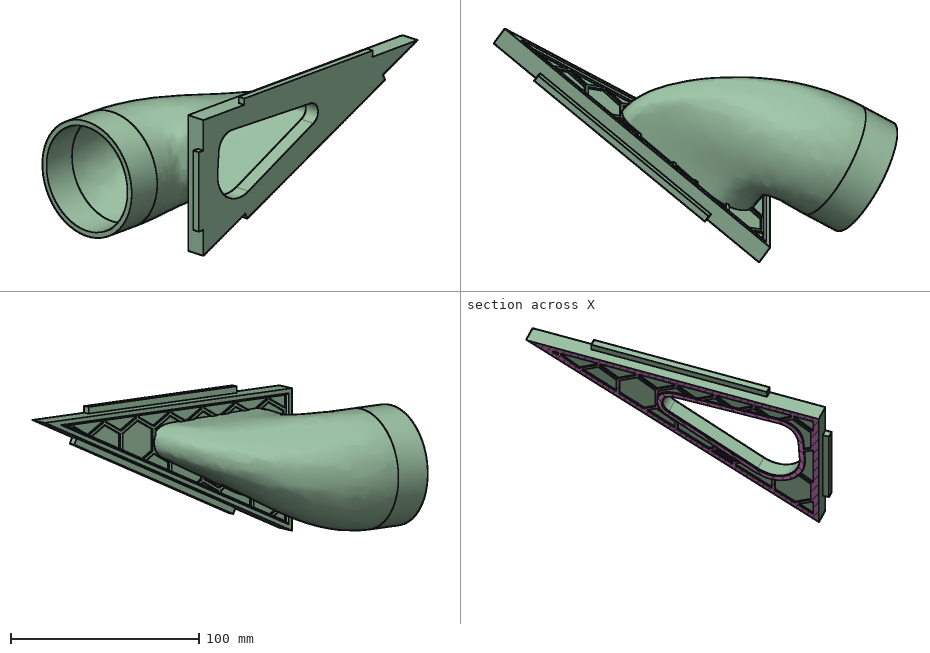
import cadquery as cq
import math


collar_diameter = 65.0
bore_diameter = 59.0
collar_length = 19.8
wall = (collar_diameter - bore_diameter) / 2

plate_thickness = 11.1
plate_length = 166.7
plate_height = 77.0
plate_tip_y = 198.5
plate_back_x = 55.0
plate_top_z = 38.7
plate_front_x = plate_back_x - plate_thickness
plate_end_y = plate_tip_y - plate_length
slope_angle = math.atan2(plate_height, plate_length)

rim_width = 2.4
mouth_chamfer = 1.0
rib_height = 1.2
recess_inset = rim_width + mouth_chamfer
rib_top_x = plate_front_x + mouth_chamfer
floor_x = rib_top_x + rib_height

cell_radius = 11.7
rib_width = 1.83
first_cell_y = 135.1
first_cell_depth = 17.7
cell_pitch = cell_radius * math.sqrt(3) + rib_width
row_pitch = cell_pitch * math.sqrt(3) / 2
cell_rows = range(-1, 4)
cell_columns = range(-5, 3)

tab_thickness = 4
tab_width = 3.5
tab_x = plate_back_x - tab_thickness
top_tab_length = 100.0
top_tab_from_tip = 35.0
end_tab_length = 45.0
end_tab_from_top = 17.3
slope_tab_length = 118.0
slope_tab_from_tip = 29.5

nose_corner = (114.7, 19.5, 9.3)
upper_corner = (54.0, 21.8, 13.3)
lower_corner = (59.5, 34.7, 19.8)

outside_start_reach = 172.6
outside_end_reach = 85.3
inside_reach = 55.5
bore_inside_reach = 89.3
section_count = 8
points_per_section = 28


def plate_outline(x, inset):
    """Closed wire of the plate triangle at the given X, moved inward by the inset on all sides."""
    slope = math.tan(slope_angle)
    top = plate_top_z - inset
    end = plate_end_y + inset
    tip = plate_tip_y - (inset + inset / math.cos(slope_angle)) / slope
    bottom = top - (tip - end) * slope
    corners = [(tip, top), (end, top), (end, bottom)]
    return cq.Workplane("YZ", origin=(x, 0, 0)).polyline(corners).close().val()


def prism(outline, depth):
    """Solid that runs from a closed wire toward +X."""
    return cq.Workplane(cq.Solid.extrudeLinear(outline, [], cq.Vector(depth, 0, 0)))


def tangent_angle(corner, next_corner):
    """Direction of the outward normal of the line that touches two corner circles."""
    (y0, z0, r0), (y1, z1, r1) = corner, next_corner
    heading = math.atan2(z1 - z0, y1 - y0)
    normal = heading - math.acos((r0 - r1) / math.hypot(y1 - y0, z1 - z0))
    return normal % (2 * math.pi)


def duct_end_outline(inset):
    """Closed wire of the duct end on the recess floor, from the nose tip along the top edge."""
    nose, upper, lower = [
        (y, plate_top_z - depth, radius - inset)
        for y, depth, radius in (nose_corner, upper_corner, lower_corner)
    ]
    top_angle = tangent_angle(nose, upper)
    end_angle = tangent_angle(upper, lower)
    bottom_angle = tangent_angle(lower, nose)
    arcs = [
        (nose, 0, top_angle),
        (upper, top_angle, end_angle),
        (lower, end_angle, bottom_angle),
        (nose, bottom_angle, 2 * math.pi),
    ]
    nose_tip = (nose[0] + nose[2], nose[1])
    outline = cq.Workplane("YZ", origin=(floor_x, 0, 0)).moveTo(*nose_tip)
    for (y, z, radius), first, last in arcs:
        start, middle, finish = [
            (y + radius * math.cos(angle), z + radius * math.sin(angle))
            for angle in (first, (first + last) / 2, last)
        ]
        if first > 0:
            outline = outline.lineTo(*start)
        outline = outline.threePointArc(middle, finish)
    return outline.close().val()


def hermite(start, start_reach, end, end_reach, u):
    """Point on the curve that leaves start along +Y and arrives at end along +X."""
    leaving = cq.Vector(0, start_reach * (u**3 - 2 * u**2 + u), 0)
    arriving = cq.Vector(end_reach * (u**3 - u**2), 0, 0)
    blend = 3 * u**2 - 2 * u**3
    return start * (1 - blend) + end * blend + leaving + arriving


def bend_solid(inset, inside_bend_reach):
    """Filled bend from the collar circle to the duct end, both moved inward by the inset."""
    radius = collar_diameter / 2 - inset
    end_outline = duct_end_outline(inset)

    def surface_point(fraction, u):
        angle = 2 * math.pi * fraction
        start = cq.Vector(-radius * math.cos(angle), collar_length, radius * math.sin(angle))
        end = end_outline.positionAt(fraction)
        outsideness = (1 + math.cos(angle)) / 2
        start_reach = inside_bend_reach + (outside_start_reach - inside_bend_reach) * outsideness
        end_reach = inside_bend_reach + (outside_end_reach - inside_bend_reach) * outsideness
        return hermite(start, start_reach, end, end_reach, u)

    sections = []
    for section in range(section_count + 1):
        u = section / section_count
        points = [surface_point(i / points_per_section, u) for i in range(points_per_section)]
        sections.append(cq.Wire.assembleEdges([cq.Edge.makeSpline(points, periodic=True)]))
    return cq.Workplane(cq.Solid.makeLoft(sections))


def make_collar():
    ring = cq.Workplane("XZ").circle(collar_diameter / 2).circle(bore_diameter / 2)
    return ring.extrude(-collar_length)


def make_recess():
    """Space removed from the plate front: a chamfered mouth over a straight-walled pocket."""
    mouth_outlines = [plate_outline(plate_front_x, rim_width), plate_outline(rib_top_x, recess_inset)]
    mouth = cq.Workplane(cq.Solid.makeLoft(mouth_outlines, True))
    return mouth.union(prism(plate_outline(rib_top_x, recess_inset), rib_height))


def make_honeycomb():
    """Ribs that fill the straight part of the recess, cut into hexagonal cells with a corner up."""
    cell_centres = []
    for row in cell_rows:
        row_shift = cell_pitch / 2 * (row % 2)
        for column in cell_columns:
            z = plate_top_z - first_cell_depth - row * row_pitch
            y = first_cell_y + column * cell_pitch + row_shift
            cell_centres.append((z, -y))
    cell_plane = cq.Plane(origin=(rib_top_x, 0, 0), xDir=(0, 0, 1), normal=(1, 0, 0))
    cells = cq.Workplane(cell_plane).pushPoints(cell_centres).polygon(6, 2 * cell_radius).extrude(rib_height)
    return prism(plate_outline(rib_top_x, recess_inset), rib_height).cut(cells)


def tab(length_y, length_z):
    return cq.Workplane("XY").box(tab_thickness, length_y, length_z, centered=False)


def make_tabs():
    top_tab_y = plate_tip_y - top_tab_from_tip - top_tab_length
    top_tab = tab(top_tab_length, tab_width).translate((tab_x, top_tab_y, plate_top_z))

    end_tab_z = plate_top_z - end_tab_from_top - end_tab_length
    end_tab = tab(tab_width, end_tab_length).translate((tab_x, plate_end_y - tab_width, end_tab_z))

    slope_tab = tab(slope_tab_length, tab_width)
    slope_tab = slope_tab.translate((tab_x, -slope_tab_from_tip - slope_tab_length, -tab_width))
    slope_tab = slope_tab.rotate((0, 0, 0), (1, 0, 0), math.degrees(slope_angle))
    slope_tab = slope_tab.translate((0, plate_tip_y, plate_top_z))
    return [top_tab, end_tab, slope_tab]


def make_plate(filled_bend):
    """Plate with tabs and ribbed recess; the ribs clear the bend, and the duct opens through the back."""
    plate = prism(plate_outline(plate_front_x, 0), plate_thickness).cut(make_recess())
    plate = plate.union(make_honeycomb().cut(filled_bend))
    for edge_tab in make_tabs():
        plate = plate.union(edge_tab)
    return plate.cut(prism(duct_end_outline(wall), plate_back_x - floor_x))


filled_bend = bend_solid(0, inside_reach)
bend = filled_bend.cut(bend_solid(wall, bore_inside_reach))
collar = make_collar()
plate = make_plate(filled_bend)

result = cq.Compound.makeCompound([collar.val(), *bend.solids().vals(), *plate.solids().vals()])